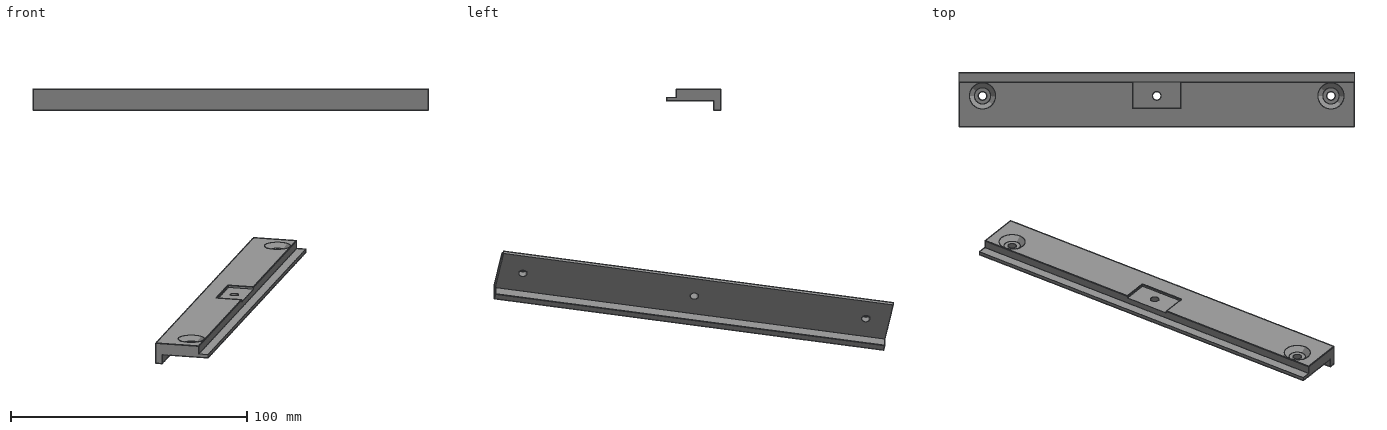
import cadquery as cq

length = 167.5
width = 23.0
height = 9.0

plate_thickness = 5.0
lip_width = 4.0
lip_thickness = 1.5
leg_thickness = 3.0

hole_diameter = 3.5
hole_from_back = 9.9
screw_from_end = 10.0
sink_top_diameter = 11.0
sink_floor_diameter = 6.9
sink_depth = 2.0

pocket_length = 20.0
pocket_width = 11.0
pocket_depth = 1.0

edge_break = 0.2

front = -width / 2
back = width / 2
step_y = back - lip_width
plate_bottom = height - plate_thickness
hole_y = back - hole_from_back
screw_x = length / 2 - screw_from_end


def make_bar():
    """Flat bar with a thin lip along the back and a leg under the front."""
    profile = [
        (front, 0),
        (front + leg_thickness, 0),
        (front + leg_thickness, plate_bottom),
        (back, plate_bottom),
        (back, plate_bottom + lip_thickness),
        (step_y, plate_bottom + lip_thickness),
        (step_y, height),
        (front, height),
    ]
    return cq.Workplane("YZ").polyline(profile).close().extrude(length / 2, both=True)


def make_pocket():
    """Rectangular recess in the top face, reaching the step."""
    return (
        cq.Workplane("XY", origin=(0, step_y - pocket_width / 2, height - pocket_depth))
        .rect(pocket_length, pocket_width)
        .extrude(pocket_depth)
    )


def make_hole(x):
    """Plain hole through the plate."""
    return (
        cq.Workplane("XY", origin=(x, hole_y, plate_bottom))
        .circle(hole_diameter / 2)
        .extrude(plate_thickness)
    )


def make_sink(x):
    """Conical screw seat with a flat floor."""
    return (
        cq.Workplane("XY", origin=(x, hole_y, height))
        .circle(sink_top_diameter / 2)
        .workplane(offset=-sink_depth)
        .circle(sink_floor_diameter / 2)
        .loft(ruled=True)
    )


def break_edges(body):
    """Bevel the plate top with the pocket rim, the front face, the leg and the step corners."""
    leg_inner_face = cq.selectors.BoxSelector(
        (-length, front + leg_thickness - edge_break, 0),
        (length, front + leg_thickness + edge_break, plate_bottom - edge_break),
    )
    step_ends = cq.selectors.BoxSelector(
        (-length, step_y - edge_break, plate_bottom + lip_thickness + edge_break),
        (length, step_y + edge_break, height),
    )
    edges = body.faces(">Z or <Y or <Z").edges()
    edges = edges.add(body.faces("<X or >X").edges("|Z").edges(leg_inner_face))
    edges = edges.add(body.faces("<X or >X").edges("|Z").edges(step_ends))
    return edges.chamfer(edge_break)


result = break_edges(make_bar().cut(make_pocket()))
for x in (-screw_x, 0, screw_x):
    result = result.cut(make_hole(x))
for x in (-screw_x, screw_x):
    result = result.cut(make_sink(x))